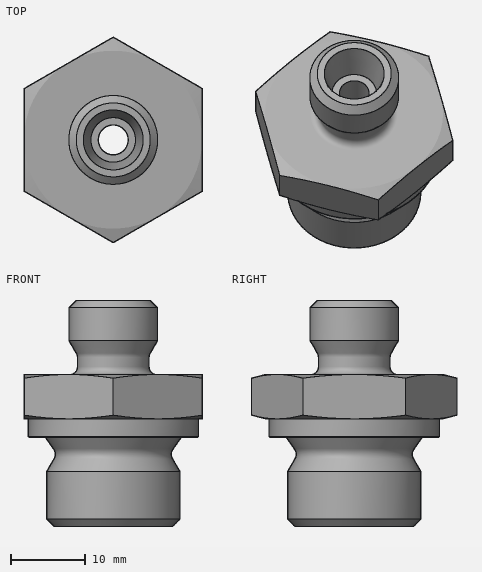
import cadquery as cq
import math

TOTAL_HEIGHT = 30.5
HEX_BOTTOM = 14.52
HEX_TOP = 20.5
COLLAR_BOTTOM = 12.0

ACROSS_FLATS = 24.0
HEX_CHAMFER_ANGLE = math.radians(15)

STUD_RADIUS = 18 / 2
STUD_TOP = 7.4
COLLAR_RADIUS = 23.0 / 2
COLLAR_CHAMFER = 0.18
END_CHAMFER = 1.0

GROOVE_RADIUS = 7.85
GROOVE_ARC = 1.2
GROOVE_LOWER_ANGLE = math.radians(30)
GROOVE_UPPER_ANGLE = math.radians(35)

SPIGOT_RADIUS = 12.0 / 2
SPIGOT_BOTTOM = 25.07
NECK_RADIUS = 9.7 / 2
NECK_FILLET = 1.0
NECK_CONE_ANGLE = math.radians(30)

BORE_DIAMETER = 4.0
SEAT_MOUTH_RADIUS = 8.08 / 2
SEAT_FLOOR_RADIUS = 6.0 / 2
SEAT_HALF_ANGLE = math.radians(12)


def arc_point(center, radius, angle):
    """Point on the inward side of a concave arc; positive angles lie above its center."""
    return (center[0] - radius * math.cos(angle), center[1] + radius * math.sin(angle))


def make_hexagon():
    """Hexagon with flats facing +X and -X and conical chamfers on both faces."""
    height = HEX_TOP - HEX_BOTTOM
    corner_diameter = ACROSS_FLATS / math.cos(math.pi / 6)
    prism = (
        cq.Workplane("XY", origin=(0, 0, HEX_BOTTOM))
        .polygon(6, corner_diameter)
        .extrude(height)
        .rotate((0, 0, 0), (0, 0, 1), 30)
    )
    face_radius = ACROSS_FLATS / 2
    middle_radius = face_radius + height / 2 / math.tan(HEX_CHAMFER_ANGLE)
    envelope = (
        cq.Workplane("XZ")
        .moveTo(0, HEX_BOTTOM)
        .lineTo(face_radius, HEX_BOTTOM)
        .lineTo(middle_radius, (HEX_BOTTOM + HEX_TOP) / 2)
        .lineTo(face_radius, HEX_TOP)
        .lineTo(0, HEX_TOP)
        .close()
        .revolve(360, (0, 0, 0), (0, 1, 0))
    )
    return prism.intersect(envelope)


def make_turned_body():
    """Stud, undercut, collar, neck and spigot as one revolved profile."""
    groove_start_radius = GROOVE_RADIUS + GROOVE_ARC * (1 - math.cos(GROOVE_LOWER_ANGLE))
    groove_start_z = STUD_TOP + (STUD_RADIUS - groove_start_radius) / math.tan(GROOVE_LOWER_ANGLE)
    groove_center = (
        GROOVE_RADIUS + GROOVE_ARC,
        groove_start_z + GROOVE_ARC * math.sin(GROOVE_LOWER_ANGLE),
    )
    groove_start = arc_point(groove_center, GROOVE_ARC, -GROOVE_LOWER_ANGLE)
    groove_middle = arc_point(groove_center, GROOVE_ARC, 0)
    groove_end = arc_point(groove_center, GROOVE_ARC, GROOVE_UPPER_ANGLE)
    groove_rise = COLLAR_BOTTOM - groove_end[1]
    groove_mouth_radius = groove_end[0] + groove_rise * math.tan(GROOVE_UPPER_ANGLE)

    fillet_center_radius = NECK_RADIUS + NECK_FILLET
    lower_center = (fillet_center_radius, HEX_TOP + NECK_FILLET)
    cone_end_radius = fillet_center_radius - NECK_FILLET * math.cos(NECK_CONE_ANGLE)
    cone_end_z = SPIGOT_BOTTOM - (SPIGOT_RADIUS - cone_end_radius) / math.tan(NECK_CONE_ANGLE)
    upper_center = (
        fillet_center_radius,
        cone_end_z - NECK_FILLET * math.sin(NECK_CONE_ANGLE),
    )

    return (
        cq.Workplane("XZ")
        .moveTo(0, 0)
        .lineTo(STUD_RADIUS - END_CHAMFER, 0)
        .lineTo(STUD_RADIUS, END_CHAMFER)
        .lineTo(STUD_RADIUS, STUD_TOP)
        .lineTo(*groove_start)
        .threePointArc(groove_middle, groove_end)
        .lineTo(groove_mouth_radius, COLLAR_BOTTOM)
        .lineTo(COLLAR_RADIUS - COLLAR_CHAMFER, COLLAR_BOTTOM)
        .lineTo(COLLAR_RADIUS, COLLAR_BOTTOM + COLLAR_CHAMFER)
        .lineTo(COLLAR_RADIUS, HEX_TOP)
        .lineTo(fillet_center_radius, HEX_TOP)
        .threePointArc(
            arc_point(lower_center, NECK_FILLET, -math.pi / 4),
            arc_point(lower_center, NECK_FILLET, 0),
        )
        .lineTo(NECK_RADIUS, upper_center[1])
        .threePointArc(
            arc_point(upper_center, NECK_FILLET, NECK_CONE_ANGLE / 2),
            arc_point(upper_center, NECK_FILLET, NECK_CONE_ANGLE),
        )
        .lineTo(SPIGOT_RADIUS, SPIGOT_BOTTOM)
        .lineTo(SPIGOT_RADIUS, TOTAL_HEIGHT - END_CHAMFER)
        .lineTo(SPIGOT_RADIUS - END_CHAMFER, TOTAL_HEIGHT)
        .lineTo(0, TOTAL_HEIGHT)
        .close()
        .revolve(360, (0, 0, 0), (0, 1, 0))
    )


def make_bore():
    return cq.Workplane("XY").circle(BORE_DIAMETER / 2).extrude(TOTAL_HEIGHT)


def make_seat():
    """Tapered seat narrowing downward from the spigot's end face."""
    depth = (SEAT_MOUTH_RADIUS - SEAT_FLOOR_RADIUS) / math.tan(SEAT_HALF_ANGLE)
    floor = TOTAL_HEIGHT - depth
    return (
        cq.Workplane("XZ")
        .moveTo(0, floor)
        .lineTo(SEAT_FLOOR_RADIUS, floor)
        .lineTo(SEAT_MOUTH_RADIUS, TOTAL_HEIGHT)
        .lineTo(0, TOTAL_HEIGHT)
        .close()
        .revolve(360, (0, 0, 0), (0, 1, 0))
    )


result = make_turned_body().union(make_hexagon()).cut(make_bore()).cut(make_seat())